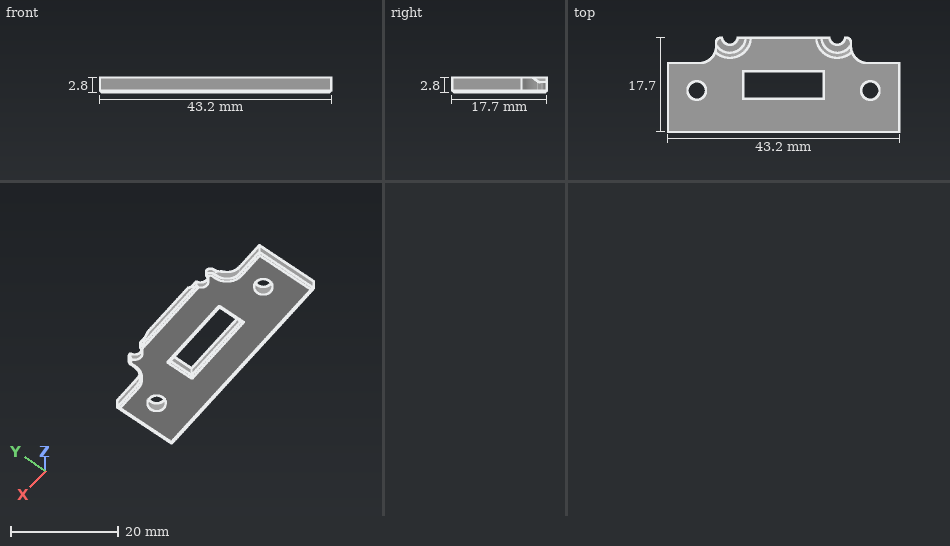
import cadquery as cq

length = 43.2
width = 17.65
thickness = 2.8
shoulder_y = 12.9
neck_half_width = 12.6
neck_fillet = 3.02
tip_fillet = 0.95
bottom_chamfer = 0.4

hole_diameter = 3.4
hole_x = 16.2
hole_y = 7.78
window_length = 14.95
window_width = 5.05
window_y = 8.8

seat_x = 10.02
seat_y = width + 0.15
seat_hole_radius = 1.45
seat_floor_radius = 3.0
seat_top_radius = 3.95
seat_depth = 0.9


def make_window():
    return (
        cq.Workplane("XY")
        .center(0, window_y)
        .rect(window_length, window_width)
        .extrude(thickness)
    )


def make_plate():
    """Plate with its window; the underside is chamfered around both outlines."""
    half_length = length / 2
    plate = (
        cq.Workplane("XY")
        .polyline([
            (-half_length, 0),
            (half_length, 0),
            (half_length, shoulder_y),
            (neck_half_width, shoulder_y),
            (neck_half_width, width),
            (-neck_half_width, width),
            (-neck_half_width, shoulder_y),
            (-half_length, shoulder_y),
        ])
        .close()
        .extrude(thickness)
    )
    for side in (-1, 1):
        x = side * neck_half_width
        shoulder_corner = cq.selectors.NearestToPointSelector((x, shoulder_y, thickness / 2))
        plate = plate.edges("|Z").edges(shoulder_corner).fillet(neck_fillet)
        tip_corner = cq.selectors.NearestToPointSelector((x, width, thickness / 2))
        plate = plate.edges("|Z").edges(tip_corner).fillet(tip_fillet)
    plate = plate.cut(make_window())
    return plate.faces("<Z").edges().chamfer(bottom_chamfer)


def make_seat(x):
    """Through hole with a flat seat and a conical wall opening upward."""
    profile = [
        (0, 0),
        (seat_hole_radius, 0),
        (seat_hole_radius, thickness - seat_depth),
        (seat_floor_radius, thickness - seat_depth),
        (seat_top_radius, thickness),
        (0, thickness),
    ]
    cutter = cq.Workplane("XZ").polyline(profile).close().revolve(360, (0, 0), (0, 1))
    return cutter.translate((x, seat_y, 0))


plate = make_plate()

holes = (
    cq.Workplane("XY")
    .pushPoints([(-hole_x, hole_y), (hole_x, hole_y)])
    .circle(hole_diameter / 2)
    .extrude(thickness)
)
result = plate.cut(holes)

for side in (-1, 1):
    result = result.cut(make_seat(side * seat_x))